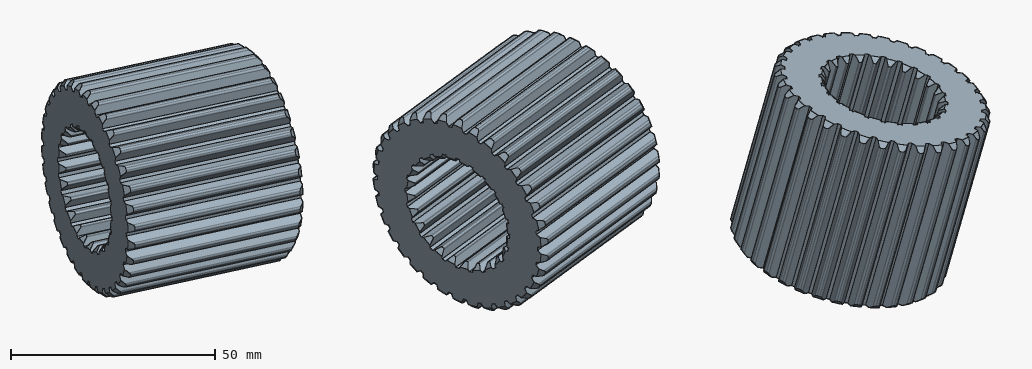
import cadquery as cq
import math

LENGTH = 46.9
CHAMFER = 1.3

OUTER_TEETH = 34
OUTER_TIP = 27.25
OUTER_ROOT = 24.85
OUTER_TIP_ROUNDING = 0.65
OUTER_FLOOR_WIDTH = 0.85
OUTER_FLANK_ANGLE = math.radians(30)

INNER_TEETH = 24
INNER_TIP = 14.3
INNER_ROOT = 16.25
INNER_TIP_ROUNDING = 0.15
INNER_FLOOR_WIDTH = 1.0
INNER_FLANK_ANGLE = math.radians(27)


def turned(point, angle):
    """Turn a point about the origin."""
    x, y = point
    cos_a, sin_a = math.cos(angle), math.sin(angle)
    return (x * cos_a - y * sin_a, x * sin_a + y * cos_a)


def splined_bar(teeth, tip, root, tip_rounding, floor_width, flank_angle):
    """Bar with V grooves, the first one on +X; teeth point inward where tip is less than root."""
    outward = 1 if tip > root else -1
    along = (outward * math.cos(flank_angle), math.sin(flank_angle))
    into_tooth = (-outward * math.sin(flank_angle), math.cos(flank_angle))

    half_floor = floor_width / 2
    lower = (math.sqrt(root**2 - half_floor**2), half_floor)
    apex = lower[0] - outward * half_floor / math.tan(flank_angle)

    centre_distance = tip - outward * tip_rounding
    offset = tip_rounding - outward * apex * math.sin(flank_angle)
    flank_end = outward * (math.sqrt(centre_distance**2 - offset**2) - apex * math.cos(flank_angle))

    upper = (apex + flank_end * along[0], flank_end * along[1])
    centre = (
        upper[0] + tip_rounding * into_tooth[0],
        upper[1] + tip_rounding * into_tooth[1],
    )
    centre_angle = math.atan2(centre[1], centre[0])
    tip_end = turned((tip, 0), centre_angle)

    towards_flank = math.atan2(-into_tooth[1], -into_tooth[0])
    towards_tip = centre_angle if outward > 0 else centre_angle - math.pi
    middle_direction = (towards_flank + towards_tip) / 2
    arc_middle = (
        centre[0] + tip_rounding * math.cos(middle_direction),
        centre[1] + tip_rounding * math.sin(middle_direction),
    )

    def mirrored(point):
        return (point[0], -point[1])

    pitch = 2 * math.pi / teeth
    outline = cq.Workplane("XZ", origin=(0, LENGTH / 2, 0)).moveTo(*mirrored(tip_end))
    for index in range(teeth):
        angle = index * pitch
        outline = (
            outline.threePointArc(turned(mirrored(arc_middle), angle), turned(mirrored(upper), angle))
            .lineTo(*turned(mirrored(lower), angle))
            .threePointArc(turned((root, 0), angle), turned(lower, angle))
            .lineTo(*turned(upper, angle))
            .threePointArc(turned(arc_middle, angle), turned(tip_end, angle))
            .threePointArc(
                turned((tip, 0), angle + pitch / 2),
                turned(mirrored(tip_end), angle + pitch),
            )
        )
    return outline.close().extrude(LENGTH)


def bevelled_ring():
    """Ring between the two tip circles with all four circular edges bevelled."""
    half = LENGTH / 2
    profile = [
        (INNER_TIP + CHAMFER, half),
        (OUTER_TIP - CHAMFER, half),
        (OUTER_TIP, half - CHAMFER),
        (OUTER_TIP, CHAMFER - half),
        (OUTER_TIP - CHAMFER, -half),
        (INNER_TIP + CHAMFER, -half),
        (INNER_TIP, CHAMFER - half),
        (INNER_TIP, half - CHAMFER),
    ]
    return cq.Workplane("XY").polyline(profile).close().revolve(360, (0, 0, 0), (0, 1, 0))


outer_bar = splined_bar(
    OUTER_TEETH, OUTER_TIP, OUTER_ROOT, OUTER_TIP_ROUNDING, OUTER_FLOOR_WIDTH, OUTER_FLANK_ANGLE
)
bore = splined_bar(
    INNER_TEETH, INNER_TIP, INNER_ROOT, INNER_TIP_ROUNDING, INNER_FLOOR_WIDTH, INNER_FLANK_ANGLE
)
result = outer_bar.cut(bore).intersect(bevelled_ring())